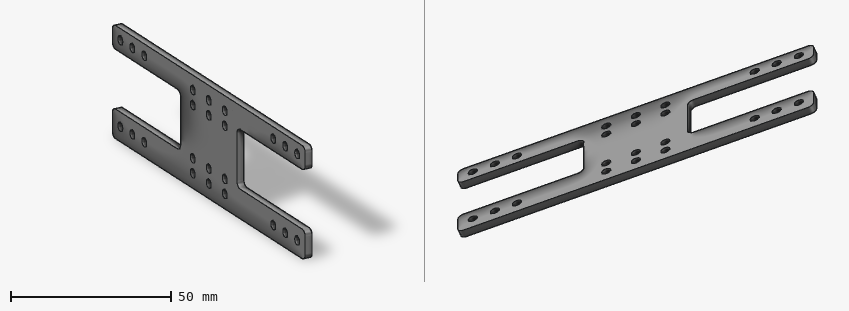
import cadquery as cq

length = 120.0
thickness = 2.5
height = 38.0
corner_radius = 2.0

upper_arm_height = 8.0
lower_arm_height = 10.0
web_width = 35.0

hole_diameter = 3.0
end_hole_inset = 5.0
arm_hole_pitch = 7.5
arm_holes_per_end = 3
upper_arm_hole_drop = 4.0
web_hole_pitch = 10.0
web_row_inset = 5.0
web_row_spacing = 5.0

half_length = length / 2
half_web = web_width / 2
top = height / 2
bottom = -height / 2
slot_top = top - upper_arm_height
slot_bottom = bottom + lower_arm_height


def plate_body():
    """H-shaped plate with every outline corner rounded."""
    outline = [
        (-half_length, bottom),
        (half_length, bottom),
        (half_length, slot_bottom),
        (half_web, slot_bottom),
        (half_web, slot_top),
        (half_length, slot_top),
        (half_length, top),
        (-half_length, top),
        (-half_length, slot_top),
        (-half_web, slot_top),
        (-half_web, slot_bottom),
        (-half_length, slot_bottom),
    ]
    plate = cq.Workplane("XZ").polyline(outline).close().extrude(thickness / 2, both=True)
    return plate.edges("|Y").fillet(corner_radius)


def arm_hole_centers():
    """A row of holes at both ends of each arm."""
    rows = (top - upper_arm_hole_drop, bottom + web_row_inset)
    outer_x = half_length - end_hole_inset
    return [
        (side * (outer_x - i * arm_hole_pitch), z)
        for z in rows
        for side in (-1, 1)
        for i in range(arm_holes_per_end)
    ]


def web_hole_centers():
    """Two pairs of three-hole rows across the web."""
    upper_row = top - web_row_inset
    lower_row = bottom + web_row_inset
    rows = (upper_row, upper_row - web_row_spacing, lower_row + web_row_spacing, lower_row)
    return [(column * web_hole_pitch, z) for z in rows for column in (-1, 0, 1)]


hole_cutters = (
    cq.Workplane("XZ")
    .pushPoints(arm_hole_centers() + web_hole_centers())
    .circle(hole_diameter / 2)
    .extrude(thickness, both=True)
)

result = plate_body().cut(hole_cutters)